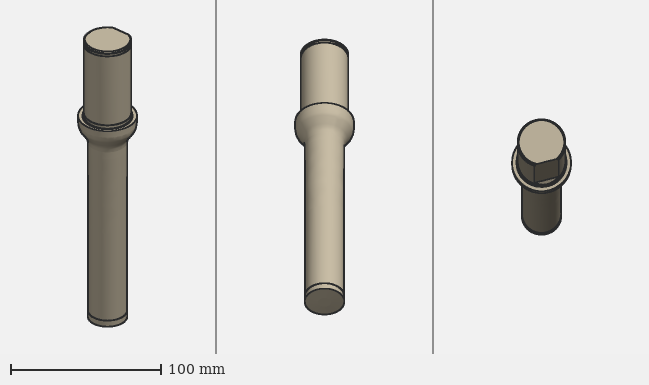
import cadquery as cq
import math

TOTAL_LENGTH = 219.0
HEAD_TOP = 5.5
TAPER_BOTTOM = 74.2
TAPER_TOP = 133.0
NECK_TOP = 138.2
COLLAR_BOTTOM = 154.0
COLLAR_TOP = 159.0

HEAD_DIAMETER = 26.5
STEM_DIAMETER = 26.0
NECK_DIAMETER = HEAD_DIAMETER
COLLAR_DIAMETER = 39.5
SHANK_DIAMETER = 32.0
GROOVE_DIAMETER = 31.5

TIP_CONE_HEIGHT = 0.7
TIP_FLAT_DIAMETER = 8.8
TOP_CHAMFER = 0.9
LOWER_GROOVE_WIDTH = 2.0
LOWER_GROOVE_CHAMFER = 0.5
RECESS_DIAMETER = 33.5
RECESS_DEPTH = 0.5
UPPER_GROOVE_WIDTH = 2.0
UPPER_GROOVE_DEPTH = 1.5
FLAT_DISTANCE = 13.5
FLAT_BOTTOM = 164.7
RAMP_ANGLE = 45.0

HEAD_RADIUS = HEAD_DIAMETER / 2
STEM_RADIUS = STEM_DIAMETER / 2
NECK_RADIUS = NECK_DIAMETER / 2
COLLAR_RADIUS = COLLAR_DIAMETER / 2
SHANK_RADIUS = SHANK_DIAMETER / 2
GROOVE_RADIUS = GROOVE_DIAMETER / 2
RECESS_RADIUS = RECESS_DIAMETER / 2


def revolve_profile(profile):
    """Turn a closed (radius, height) profile about the Z axis."""
    return profile.close().revolve(360, (0, 0, 0), (0, 1, 0))


def make_head():
    """Short cutting head with a shallow conical tip ending in a small flat."""
    profile = (
        cq.Workplane("XZ")
        .moveTo(0, 0)
        .lineTo(TIP_FLAT_DIAMETER / 2, 0)
        .lineTo(HEAD_RADIUS, TIP_CONE_HEIGHT)
        .lineTo(HEAD_RADIUS, HEAD_TOP)
        .lineTo(0, HEAD_TOP)
    )
    return revolve_profile(profile)


def add_flare(profile):
    """Continue from the neck to the collar with one S-shaped curve, vertical at both ends."""
    mid_radius = (NECK_RADIUS + COLLAR_RADIUS) / 2
    mid_height = (NECK_TOP + COLLAR_BOTTOM) / 2
    return profile.spline(
        [(mid_radius, mid_height), (COLLAR_RADIUS, COLLAR_BOTTOM)],
        tangents=[(0, 1), (0, 1)],
        includeCurrent=True,
    )


def make_turned_holder():
    """Stem, taper, neck, flared collar and grooved shank as one turned shape."""
    lower_groove_top = COLLAR_TOP + LOWER_GROOVE_WIDTH
    upper_groove_top = TOTAL_LENGTH - UPPER_GROOVE_DEPTH
    upper_groove_bottom = upper_groove_top - UPPER_GROOVE_WIDTH
    profile = (
        cq.Workplane("XZ")
        .moveTo(0, HEAD_TOP)
        .lineTo(STEM_RADIUS, HEAD_TOP)
        .lineTo(STEM_RADIUS, TAPER_BOTTOM)
        .lineTo(NECK_RADIUS, TAPER_TOP)
        .lineTo(NECK_RADIUS, NECK_TOP)
    )
    profile = (
        add_flare(profile)
        .lineTo(COLLAR_RADIUS, COLLAR_TOP)
        .lineTo(RECESS_RADIUS, COLLAR_TOP)
        .lineTo(RECESS_RADIUS, COLLAR_TOP - RECESS_DEPTH)
        .lineTo(GROOVE_RADIUS, COLLAR_TOP - RECESS_DEPTH)
        .lineTo(GROOVE_RADIUS, lower_groove_top)
        .lineTo(SHANK_RADIUS, lower_groove_top + LOWER_GROOVE_CHAMFER)
        .lineTo(SHANK_RADIUS, upper_groove_bottom)
        .lineTo(GROOVE_RADIUS, upper_groove_bottom)
        .lineTo(GROOVE_RADIUS, upper_groove_top)
        .lineTo(SHANK_RADIUS, upper_groove_top)
        .lineTo(SHANK_RADIUS, TOTAL_LENGTH - TOP_CHAMFER)
        .lineTo(SHANK_RADIUS - TOP_CHAMFER, TOTAL_LENGTH)
        .lineTo(0, TOTAL_LENGTH)
    )
    return revolve_profile(profile)


def make_flat_cutter():
    """Block that cuts the +Y flat, with a ramp running out at its lower end."""
    ramp_run = SHANK_RADIUS - FLAT_DISTANCE
    ramp_drop = ramp_run * math.tan(math.radians(RAMP_ANGLE))
    return (
        cq.Workplane("YZ")
        .moveTo(FLAT_DISTANCE, FLAT_BOTTOM)
        .lineTo(SHANK_RADIUS, FLAT_BOTTOM - ramp_drop)
        .lineTo(SHANK_RADIUS, TOTAL_LENGTH)
        .lineTo(FLAT_DISTANCE, TOTAL_LENGTH)
        .close()
        .extrude(SHANK_RADIUS, both=True)
    )


def make_holder():
    """Turned holder with the clamping flat cut along its shank."""
    return make_turned_holder().cut(make_flat_cutter())


head = make_head()
holder = make_holder()

result = cq.Compound.makeCompound([head.val(), holder.val()])